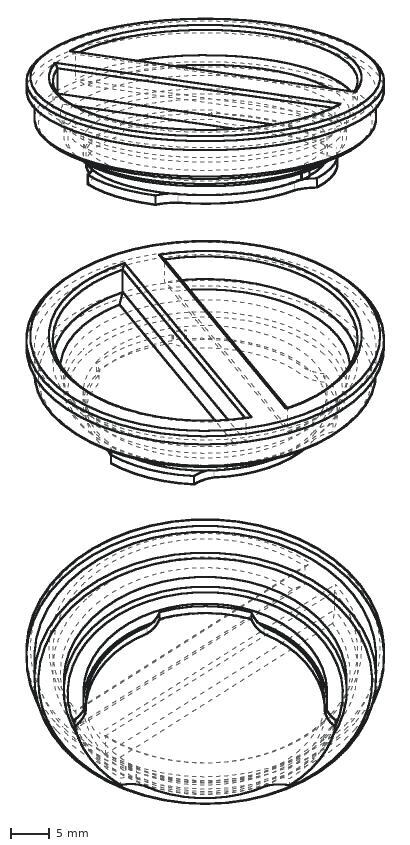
import cadquery as cq
import math

height = 12.0
flange_radius = 23.45
flange_thickness = 1.8
body_radius = 44.8 / 2
body_bottom_depth = 6.35
step_radius = 37.1 / 2
step_bottom_depth = 8.7
neck_radius = 32.0 / 2
edge_chamfer = 0.5

pocket_radius = 20.0
pocket_depth = 5.0
grip_width = 6.0
floor_chamfer = 1.0

tab_count = 3
tab_thickness = 1.3
tab_radius = 17.35
root_radius = 15.65
tab_start = -9.5
tab_span = 40.5
blend_span = 9.0
blend_sagitta = 0.25

stop_radius = 16.15
stop_start = -15.2
stop_span = 6.2
stop_height = 1.3


def disc(radius, top_depth, bottom_depth):
    """Cylinder between two depths below the top face."""
    thickness = bottom_depth - top_depth
    return cq.Workplane("XY").workplane(offset=height - bottom_depth).circle(radius).extrude(thickness)


def polar(radius, angle):
    """Point at a radius and an angle in degrees."""
    return (radius * math.cos(math.radians(angle)), radius * math.sin(math.radians(angle)))


def blend_middle(root, tip):
    """Middle of a concave arc between root and tip, bowed towards the axis."""
    chord = math.dist(root, tip)
    middle_x = (root[0] + tip[0]) / 2
    middle_y = (root[1] + tip[1]) / 2
    normal_x = (tip[1] - root[1]) / chord
    normal_y = (root[0] - tip[0]) / chord
    inward = -1 if middle_x * normal_x + middle_y * normal_y > 0 else 1
    shift = inward * blend_sagitta
    return (middle_x + shift * normal_x, middle_y + shift * normal_y)


def make_body():
    flange = disc(flange_radius, 0, flange_thickness).faces(">Z").chamfer(edge_chamfer)
    body = disc(body_radius, flange_thickness, body_bottom_depth).faces("<Z").chamfer(edge_chamfer)
    step = disc(step_radius, body_bottom_depth, step_bottom_depth).faces("<Z").chamfer(edge_chamfer)
    neck = disc(neck_radius, step_bottom_depth, height - tab_thickness)
    root = disc(root_radius, height - tab_thickness, height)
    return flange.union(body).union(step).union(neck).union(root)


def make_pocket(side):
    """Half-moon cutter on the +Y (side = 1) or -Y (side = -1) side of the grip bar."""
    half_plane = (
        cq.Workplane("XY")
        .workplane(offset=height - pocket_depth)
        .center(0, side * (grip_width / 2 + pocket_radius))
        .rect(2 * pocket_radius, 2 * pocket_radius)
        .extrude(pocket_depth)
    )
    pocket = disc(pocket_radius, 0, pocket_depth).intersect(half_plane)
    pocket = pocket.faces("<Z").chamfer(floor_chamfer)
    end_x = math.sqrt(pocket_radius**2 - (grip_width / 2) ** 2)
    wall_y = side * grip_width / 2
    mouth_radius = pocket_radius + edge_chamfer
    mouth_y = wall_y - side * edge_chamfer
    mouth_x = math.sqrt(mouth_radius**2 - mouth_y**2)
    flare = (
        cq.Workplane("XY")
        .workplane(offset=height - edge_chamfer)
        .moveTo(-end_x, wall_y)
        .threePointArc((0, side * pocket_radius), (end_x, wall_y))
        .close()
        .workplane(offset=edge_chamfer)
        .moveTo(-mouth_x, mouth_y)
        .threePointArc((0, side * mouth_radius), (mouth_x, mouth_y))
        .close()
        .loft(ruled=True)
    )
    return pocket.union(flare)


def make_tab(start):
    """Bayonet tab with concave blends from the root circle to its outer corners."""
    end = start + tab_span
    root_start = polar(root_radius, start - blend_span)
    root_end = polar(root_radius, end + blend_span)
    tip_start = polar(tab_radius, start)
    tip_end = polar(tab_radius, end)
    return (
        cq.Workplane("XY")
        .moveTo(*root_start)
        .threePointArc(blend_middle(root_start, tip_start), tip_start)
        .threePointArc(polar(tab_radius, (start + end) / 2), tip_end)
        .threePointArc(blend_middle(root_end, tip_end), root_end)
        .lineTo(0, 0)
        .close()
        .extrude(tab_thickness)
    )


def make_stop():
    return (
        cq.Workplane("XY")
        .workplane(offset=tab_thickness)
        .moveTo(*polar(stop_radius, stop_start))
        .threePointArc(
            polar(stop_radius, stop_start + stop_span / 2),
            polar(stop_radius, stop_start + stop_span),
        )
        .lineTo(0, 0)
        .close()
        .extrude(stop_height)
    )


tabbed_body = make_body()
for tab_index in range(tab_count):
    tabbed_body = tabbed_body.union(make_tab(tab_start + tab_index * 360 / tab_count))
tabbed_body = tabbed_body.union(make_stop())

result = tabbed_body.cut(make_pocket(1)).cut(make_pocket(-1))